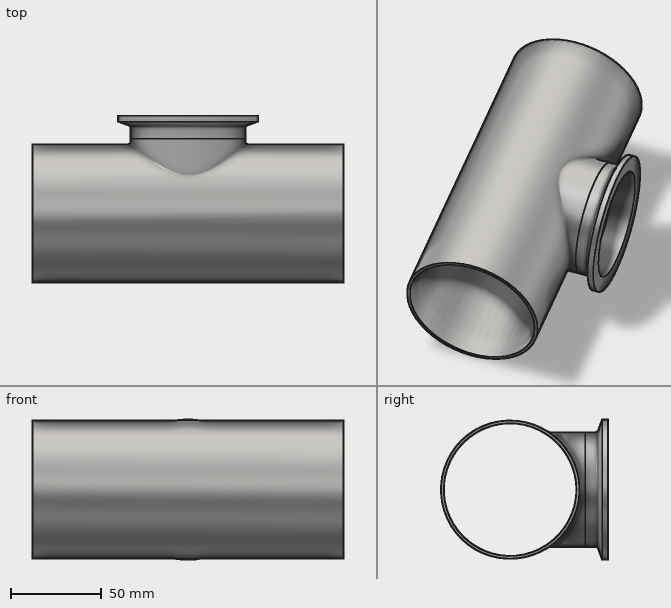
import cadquery as cq
import math

pipe_length = 171.4
pipe_diameter = 76.3
pipe_radius = pipe_diameter / 2
wall = 1.7

branch_radius = 31.7
branch_bore_radius = branch_radius - wall
overall_depth = 92.0
junction_fillet = 1.4

ferrule_length = 12.7
flange_radius = 38.7
rim_thickness = 3.3
bevel_angle = math.radians(20)
neck_fillet = 1.0

branch_face_y = overall_depth - pipe_radius
joint_y = branch_face_y - ferrule_length


def along_y(radius, start_y, end_y):
    """Cylinder on the Y axis between two Y positions."""
    plane = cq.Workplane("XZ", origin=(0, start_y, 0))
    return plane.circle(radius).extrude(start_y - end_y)


def make_tee():
    """Pipe with a filleted branch stub, open at all three ends."""
    pipe = cq.Workplane("YZ").circle(pipe_radius).extrude(pipe_length / 2, both=True)
    tee = pipe.union(along_y(branch_radius, 0, joint_y))
    junction_zone = cq.selectors.BoxSelector(
        (-branch_radius, 0, -branch_radius),
        (branch_radius, pipe_radius, branch_radius),
    )
    tee = tee.edges(junction_zone).edges("not %LINE").fillet(junction_fillet)

    pipe_bore = cq.Workplane("YZ").circle(pipe_radius - wall).extrude(pipe_length / 2, both=True)
    branch_bore = along_y(branch_bore_radius, 0, joint_y)
    return tee.cut(pipe_bore).cut(branch_bore)


def make_ferrule():
    """Turned ferrule: short neck, bevelled flange and straight rim."""
    rim_y = branch_face_y - rim_thickness
    bevel_end_y = rim_y - (flange_radius - branch_radius) * math.tan(bevel_angle)
    profile = (
        cq.Workplane("XY")
        .moveTo(branch_bore_radius, joint_y)
        .lineTo(branch_radius, joint_y)
        .lineTo(branch_radius, bevel_end_y)
        .lineTo(flange_radius, rim_y)
        .lineTo(flange_radius, branch_face_y)
        .lineTo(branch_bore_radius, branch_face_y)
        .close()
    )
    ferrule = profile.revolve(360, (0, 0, 0), (0, 1, 0))
    bevel_corner = cq.selectors.BoxSelector(
        (-flange_radius, joint_y, -flange_radius),
        (flange_radius, (rim_y + bevel_end_y) / 2, flange_radius),
    )
    return ferrule.edges("%CIRCLE").edges(bevel_corner).edges(">Y").fillet(neck_fillet)


tee = make_tee()
ferrule = make_ferrule()

result = cq.Compound.makeCompound([tee.val(), ferrule.val()])